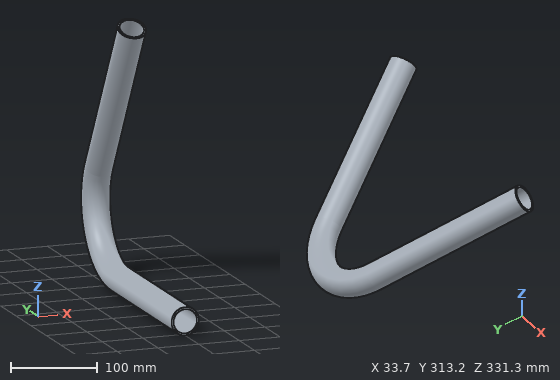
import cadquery as cq
import math

outer_diameter = 33.7
wall_thickness = 2.5
inner_diameter = outer_diameter - 2 * wall_thickness

developed_length = 600.0
bend_radius = 78.0
bend_angle = 120.0

bend_length = bend_radius * math.radians(bend_angle)
leg_length = (developed_length - bend_length) / 2


def point_on_bend(angle):
    """Centreline point (y, z) after turning by the given angle in degrees."""
    turn = math.radians(angle)
    y = leg_length + bend_radius * math.sin(turn)
    z = bend_radius * (1 - math.cos(turn))
    return (y, z)


def centreline():
    """Tube path in the YZ plane, starting at the origin along +Y."""
    bend_end = point_on_bend(bend_angle)
    end_direction = math.radians(bend_angle)
    tube_end = (
        bend_end[0] + leg_length * math.cos(end_direction),
        bend_end[1] + leg_length * math.sin(end_direction),
    )
    return (
        cq.Workplane("YZ")
        .lineTo(leg_length, 0)
        .threePointArc(point_on_bend(bend_angle / 2), bend_end)
        .lineTo(*tube_end)
    )


def bent_tube():
    """Ring section swept along the centreline, open at both ends."""
    section = cq.Workplane("XZ").circle(outer_diameter / 2).circle(inner_diameter / 2)
    return section.sweep(centreline())


result = bent_tube()